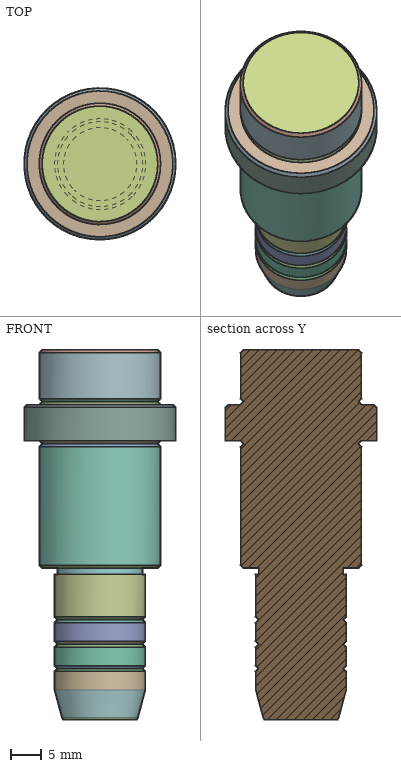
import cadquery as cq
import math

height = 61.0
collar_radius = 12.5
body_radius = 10.0
shank_radius = 7.5

taper_top = 5.0
shank_neck_bottom = 24.0
body_bottom = 25.0
collar_bottom = 46.0
collar_top = 52.0

edge_chamfer = 0.5
groove_depth = 0.5
groove_width = 2 * groove_depth
first_ring_groove = 8.5
ring_groove_pitch = 4.0
ring_groove_count = 3
taper_angle = 15.0
tip_chamfer_height = 0.4
tip_chamfer_inset = 0.25


def cylinder(radius, bottom, top):
    return cq.Workplane("XY").workplane(offset=bottom).circle(radius).extrude(top - bottom)


def v_groove(radius, center):
    """Ring with a V section that cuts a 45 degree groove into a cylinder."""
    half_width = groove_width / 2
    section = [
        (radius, center - half_width),
        (radius - groove_depth, center),
        (radius, center + half_width),
        (radius + groove_depth, center + half_width),
        (radius + groove_depth, center - half_width),
    ]
    return cq.Workplane("XZ").polyline(section).close().revolve(360, (0, 0), (0, 1))


tip_radius = shank_radius - (taper_top - tip_chamfer_height) * math.tan(math.radians(taper_angle))
neck_radius = shank_radius - groove_depth
shank_profile = [
    (0, 0),
    (tip_radius - tip_chamfer_inset, 0),
    (tip_radius, tip_chamfer_height),
    (shank_radius, taper_top),
    (shank_radius, shank_neck_bottom),
    (neck_radius, shank_neck_bottom),
    (neck_radius, body_bottom),
    (0, body_bottom),
]
shank = cq.Workplane("XZ").polyline(shank_profile).close().revolve(360, (0, 0), (0, 1))
for index in range(ring_groove_count):
    shank = shank.cut(v_groove(shank_radius, first_ring_groove + index * ring_groove_pitch))

body = cylinder(body_radius, body_bottom, height).faces("<Z or >Z").edges().chamfer(edge_chamfer)
body = body.cut(v_groove(body_radius, collar_bottom - groove_width / 2))
body = body.cut(v_groove(body_radius, collar_top + groove_width / 2))

collar = cylinder(collar_radius, collar_bottom, collar_top).faces(">Z").edges().chamfer(edge_chamfer)

result = body.union(collar).union(shank)